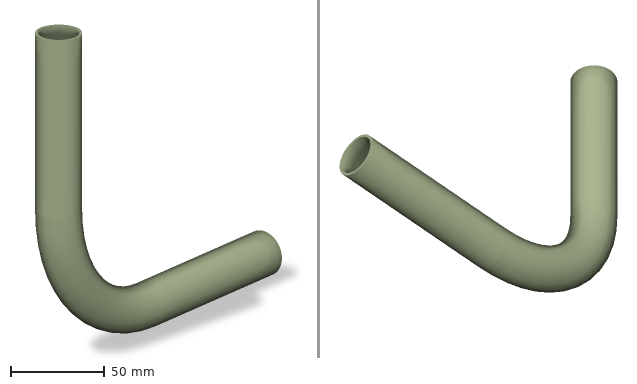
import cadquery as cq

overall_length = 190.5
outer_diameter = 25.3
inner_diameter = 22.3
bend_radius = 76.2

leg_length = overall_length - bend_radius - outer_diameter / 2

leg_end = bend_radius + leg_length


def tube_ring(plane):
    """Ring cross-section of the tube on the given plane."""
    return cq.Workplane(plane).circle(outer_diameter / 2).circle(inner_diameter / 2)


vertical_start = cq.Plane(origin=(0, 0, bend_radius), xDir=(1, 0, 0), normal=(0, 0, 1))
vertical_leg = tube_ring(vertical_start).extrude(leg_length)

horizontal_end = cq.Plane(origin=(0, leg_end, 0), xDir=(1, 0, 0), normal=(0, -1, 0))
horizontal_leg = tube_ring(horizontal_end).extrude(leg_length)

bend = tube_ring(vertical_start).revolve(90, (0, bend_radius, 0), (1, bend_radius, 0))

result = vertical_leg.union(bend).union(horizontal_leg)